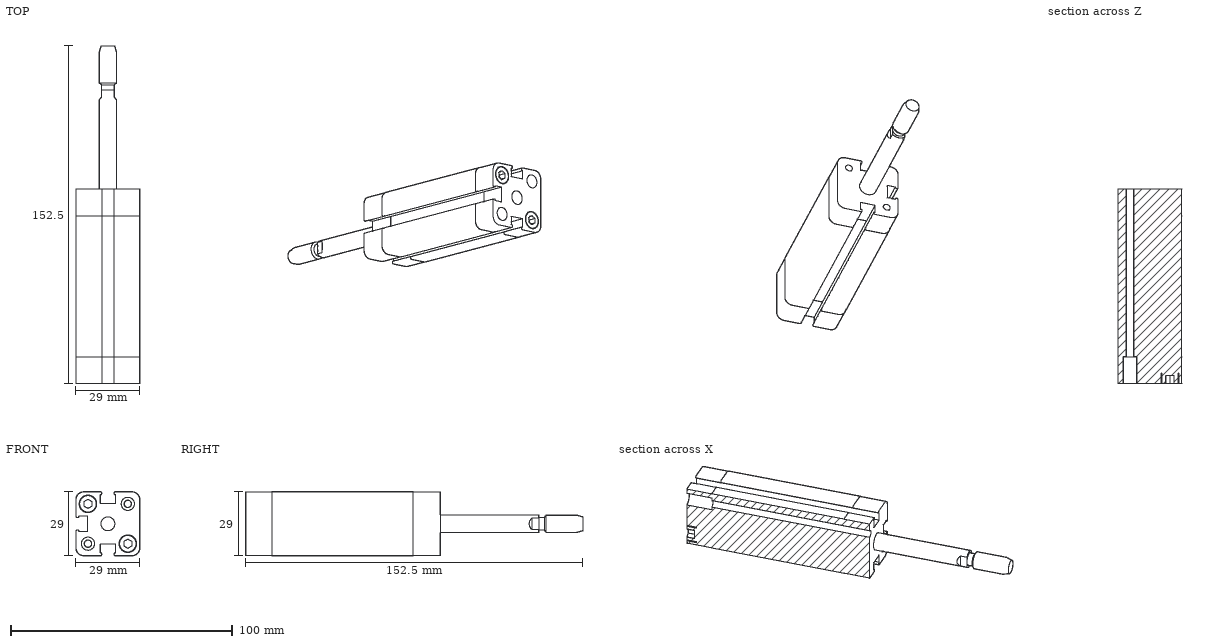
import cadquery as cq
import math


BODY_SIDE = 29.0
BODY_LENGTH = 88.0
CORNER_RADIUS = 3.7
FRONT_CAP_LENGTH = 12.0
REAR_CAP_LENGTH = 12.4
CAP_INSET = 0.08
CAP_SIDE = BODY_SIDE - 2 * CAP_INSET
TUBE_LENGTH = BODY_LENGTH - FRONT_CAP_LENGTH - REAR_CAP_LENGTH

SLOT_WIDTH = 6.9
CAP_SLOT_DEPTH = 5.2
TUBE_SLOT_DEPTH = 5.3
LIP_RADIUS = 0.69
SLOT_TURNS = (0, 90, 180)

HOLE_OFFSET = 9.0
THROUGH_DIAMETER = 3.2
THREAD_DIAMETER = 6.0
THREAD_DEPTH = FRONT_CAP_LENGTH
PORT_DIAMETER = 6.3
PORT_DEPTH = FRONT_CAP_LENGTH
BORE_DIAMETER = 8.0
HEAD_DIAMETER = 7.5
HEAD_LENGTH = 4.5
SOCKET_DIAMETER = 4.1
SOCKET_DEPTH = 3.7
SOCKET_SIDES = 6
SCREW_PLACES = [(-HOLE_OFFSET, HOLE_OFFSET), (HOLE_OFFSET, -HOLE_OFFSET)]
THREAD_PLACES = [(HOLE_OFFSET, HOLE_OFFSET), (-HOLE_OFFSET, -HOLE_OFFSET)]

OVERALL_LENGTH = 152.5
ROD_DIAMETER = 8.0
NECK_DIAMETER = 5.8
TIP_DIAMETER = 6.3
TIP_LENGTH = 2.9
THREAD_LENGTH = 13.9
NECK_TAPER = 0.8
NECK_END = 132.5
FLAT_LENGTH = 3.2
FLAT_RUNOUT = 1.2
FLAT_WIDTH = 6.0


def box(width, height, y_start, length):
    """Block centred on the Y axis."""
    return cq.Workplane("XY").box(width, length, height).translate((0, y_start + length / 2, 0))


def cylinders(diameter, length, places=((0, 0),), y_start=0.0):
    """Cylinders running towards +Y from y_start, at (x, z) places."""
    plane = cq.Workplane("XZ", origin=(0, y_start, 0))
    return plane.pushPoints(places).circle(diameter / 2).extrude(-length)


def slot(y_start, length, side, depth):
    """Undercut slot along the top of a square bar with the given side."""
    top = side / 2
    channel = box(SLOT_WIDTH, depth, y_start, length).translate((0, 0, top - depth / 2))
    lip_places = [(x, top - LIP_RADIUS) for x in (-SLOT_WIDTH / 2, SLOT_WIDTH / 2)]
    return channel.cut(cylinders(2 * LIP_RADIUS, length, lip_places, y_start))


def section(y_start, length, side, slot_depth):
    """Slotted length of the body: a rounded square bar with its sensor slots."""
    bar = box(side, side, y_start, length).edges("|Y").fillet(CORNER_RADIUS)
    top_slot = slot(y_start, length, side, slot_depth)
    for turn in SLOT_TURNS:
        bar = bar.cut(top_slot.rotate((0, 0, 0), (0, 1, 0), -turn))
    return bar


def body():
    front_cap = section(0, FRONT_CAP_LENGTH, CAP_SIDE, CAP_SLOT_DEPTH)
    tube = section(FRONT_CAP_LENGTH, TUBE_LENGTH, BODY_SIDE, TUBE_SLOT_DEPTH)
    rear_cap = section(BODY_LENGTH - REAR_CAP_LENGTH, REAR_CAP_LENGTH, CAP_SIDE, CAP_SLOT_DEPTH)
    block = front_cap.union(tube).union(rear_cap)
    block = block.cut(cylinders(PORT_DIAMETER, PORT_DEPTH))
    block = block.cut(cylinders(THREAD_DIAMETER, THREAD_DEPTH, THREAD_PLACES))
    block = block.cut(cylinders(THROUGH_DIAMETER, BODY_LENGTH, THREAD_PLACES))
    return block


def screw_gaps():
    """Ring gap around each screw head, plus the hexagon socket in the head."""
    heads = cylinders(HEAD_DIAMETER, HEAD_LENGTH, SCREW_PLACES)
    gaps = cylinders(BORE_DIAMETER, HEAD_LENGTH, SCREW_PLACES).cut(heads)
    corners = []
    for number in range(SOCKET_SIDES):
        angle = math.pi / SOCKET_SIDES + 2 * math.pi * number / SOCKET_SIDES
        corners.append((SOCKET_DIAMETER / 2 * math.cos(angle), SOCKET_DIAMETER / 2 * math.sin(angle)))
    socket = cq.Workplane("XZ").polyline(corners).close().extrude(-SOCKET_DEPTH)
    for x, z in SCREW_PLACES:
        gaps = gaps.union(socket.translate((x, 0, z)))
    return gaps


def rod():
    """Turned rod with a coned tip, a thread, a neck and two wrench flats facing -X and +X."""
    rod_radius = ROD_DIAMETER / 2
    neck_radius = NECK_DIAMETER / 2
    thread_end = OVERALL_LENGTH - TIP_LENGTH
    thread_start = thread_end - THREAD_LENGTH
    profile = [
        (0, BODY_LENGTH),
        (rod_radius, BODY_LENGTH),
        (rod_radius, NECK_END),
        (neck_radius, NECK_END),
        (neck_radius, thread_start - NECK_TAPER),
        (rod_radius, thread_start),
        (rod_radius, thread_end),
        (TIP_DIAMETER / 2, OVERALL_LENGTH),
        (0, OVERALL_LENGTH),
    ]
    bar = cq.Workplane("XY").polyline(profile).close().revolve(360, (0, 0, 0), (0, 1, 0))
    flat_start = NECK_END - FLAT_LENGTH
    for side in (-1, 1):
        flat = [
            (side * FLAT_WIDTH / 2, NECK_END),
            (side * FLAT_WIDTH / 2, flat_start),
            (side * rod_radius, flat_start - FLAT_RUNOUT),
            (side * rod_radius, NECK_END),
        ]
        bar = bar.cut(cq.Workplane("XY").polyline(flat).close().extrude(rod_radius, both=True))
    return bar


result = body().cut(screw_gaps()).union(rod())